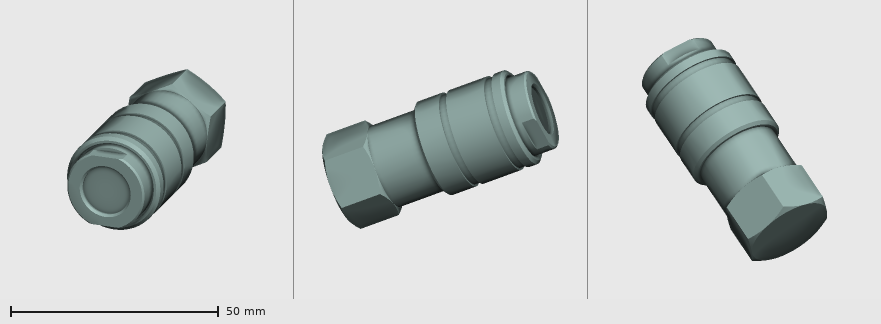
import cadquery as cq
import math

length = 53.5
hex_length = 12.0
sleeve_front = 5.1
sleeve_rear = 29.0
grooves = [(8.0, 10.05), (20.05, 22.0)]

sleeve_diameter = 24.0
sleeve_radius = sleeve_diameter / 2
groove_radius = 11.45
sleeve_chamfer_length = 0.7
sleeve_chamfer_height = 0.8
gap_radius = 10.3
gap_depth = 1.05
gap_chamfer = 0.25

neck_radius = 10.4
nose_radius = 9.95
nose_chamfer = 0.45
flat_half_width = 8.95
flat_length = 3.5
recess_radius = 6.6
recess_floor_radius = 6.05
recess_chamfer = 0.55
recess_depth = 1.1

hex_across_flats = 20.95
hex_half_sector = 30.0
hex_tilt = 5.3
hex_chamfer_angle = 30.0


def revolve_profile(points):
    """Turn an outline of (radius, y) points about the Y axis."""
    return cq.Workplane("XY").polyline(points).close().revolve(360, (0, 0, 0), (0, 1, 0))


def cylinder(radius, start, end):
    return revolve_profile([(0, start), (radius, start), (radius, end), (0, end)])


def make_sleeve():
    chamfer_radius = sleeve_radius - sleeve_chamfer_height
    sleeve = revolve_profile([
        (0, sleeve_front),
        (chamfer_radius, sleeve_front),
        (sleeve_radius, sleeve_front + sleeve_chamfer_length),
        (sleeve_radius, sleeve_rear - sleeve_chamfer_length),
        (chamfer_radius, sleeve_rear),
        (0, sleeve_rear),
    ])
    for front, rear in grooves:
        ring = cylinder(sleeve_radius, front, rear).cut(cylinder(groove_radius, front, rear))
        sleeve = sleeve.cut(ring)
    mouth = revolve_profile([
        (0, sleeve_front),
        (gap_radius + gap_chamfer, sleeve_front),
        (gap_radius, sleeve_front + gap_chamfer),
        (gap_radius, sleeve_front + gap_depth),
        (0, sleeve_front + gap_depth),
    ])
    return sleeve.cut(mouth)


def make_nose():
    nose = revolve_profile([
        (0, recess_depth),
        (recess_floor_radius, recess_depth),
        (recess_floor_radius, recess_chamfer),
        (recess_radius, 0),
        (nose_radius - nose_chamfer, 0),
        (nose_radius, nose_chamfer),
        (nose_radius, sleeve_front + gap_depth),
        (0, sleeve_front + gap_depth),
    ])
    flat_band = cq.Workplane("XY").box(
        2 * nose_radius, flat_length, 2 * flat_half_width
    ).translate((0, flat_length / 2, 0))
    rear_part = cylinder(nose_radius, flat_length, sleeve_front + gap_depth)
    return nose.intersect(flat_band.union(rear_part))


def make_hex():
    flat_radius = hex_across_flats / 2
    corner_radius = flat_radius / math.cos(math.radians(hex_half_sector))
    chamfer_length = (corner_radius - flat_radius) * math.tan(math.radians(hex_chamfer_angle))
    hex_front = length - hex_length
    prism = (
        cq.Workplane("XZ", origin=(0, hex_front, 0))
        .polygon(6, 2 * corner_radius)
        .extrude(-hex_length)
        .rotate((0, 0, 0), (0, 1, 0), hex_half_sector + hex_tilt)
    )
    envelope = revolve_profile([
        (0, hex_front),
        (flat_radius, hex_front),
        (corner_radius, hex_front + chamfer_length),
        (corner_radius, length - chamfer_length),
        (flat_radius, length),
        (0, length),
    ])
    return prism.intersect(envelope)


neck = cylinder(neck_radius, sleeve_rear, length - hex_length)
result = make_sleeve().union(make_nose()).union(neck).union(make_hex())